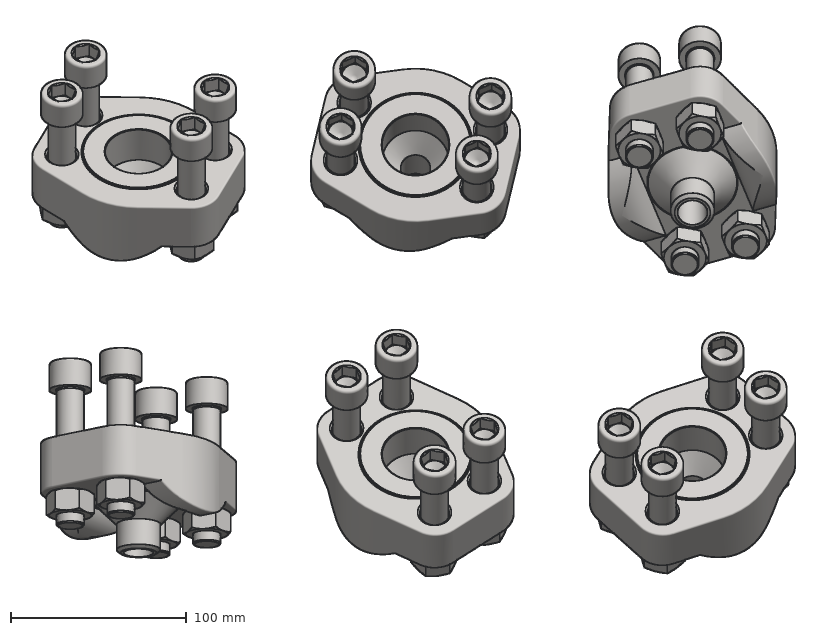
import cadquery as cq
import math


flange_length = 113.0
hub_radius = 47.9
bolt_pitch_x = 79.3
bolt_pitch_y = 36.5
plate_thickness = 30.0
arch_radius = 41.2
arch_drop = 12.8
lobe_round = 16.7
edge_fillet = 1.0
recess_diameter = 64.3
recess_depth = 10.0
seat_chamfer = 0.4
flange_bore = 51.5
bolt_hole = 17.0
bolt_hole_chamfer = 1.1

collar_diameter = 63.5
collar_protrusion = 0.5
sleeve_diameter = 50.6
pipe_diameter = 25.0
pipe_tip_diameter = 20.3
pipe_tip_length = 1.7
pipe_bottom = -59.4
counterbore_diameter = 38.0
counterbore_depth = 22.6
through_bore = 17.0

head_seat = 31.0
head_diameter = 24.0
head_height = 16.0
head_fillet = 1.6
shank_diameter = 15.7
shank_length = 80.0
shank_tip_diameter = 14.4
shank_tip_length = 0.8
neck_diameter = 16.5
neck_length = 0.9
socket_width = 14.0
socket_depth = 9.0
socket_cone_depth = 4.1
socket_mouth_depth = 0.7
socket_turn = 8.0

nut_width = 24.0
nut_height = 13.0
nut_chamfer_angle = 30.0

corner_x = bolt_pitch_x / 2
corner_y = bolt_pitch_y / 2
corner_radius = flange_length / 2 - corner_x
bolt_places = [(side_x * corner_x, side_y * corner_y) for side_x in (-1, 1) for side_y in (-1, 1)]
plate_bottom = -plate_thickness
arch_bottom = plate_bottom - arch_drop
on_wall_tolerance = 0.001


def turned(profile):
    """Solid of revolution about Z from (radius, height) points."""
    return cq.Workplane("XZ").polyline(profile).close().revolve(360, (0, 0, 0), (0, 1, 0))


def cylinder(diameter, bottom, top):
    return cq.Workplane("XY").workplane(offset=bottom).circle(diameter / 2).extrude(top - bottom)


def hexagon_corner_radius(width):
    """Corner radius of a hexagon of the given width across flats."""
    return width / 2 / math.cos(math.radians(30))


def hexagon(width, bottom, top):
    """Hexagonal prism with a corner on the X axis."""
    corner_circle = 2 * hexagon_corner_radius(width)
    return cq.Workplane("XY").workplane(offset=bottom).polygon(6, corner_circle).extrude(top - bottom)


def flange_blank():
    """Prism whose outline is a hub circle and four corner circles joined by tangent lines."""
    spacing = math.hypot(corner_x, corner_y)
    tangent_angle = math.atan2(corner_y, corner_x) + math.acos((hub_radius - corner_radius) / spacing)
    hub_x = hub_radius * math.cos(tangent_angle)
    hub_y = hub_radius * math.sin(tangent_angle)
    end_x = corner_x + corner_radius * math.cos(tangent_angle)
    end_y = corner_y + corner_radius * math.sin(tangent_angle)
    mid_x = corner_x + corner_radius * math.cos(tangent_angle / 2)
    mid_y = corner_y + corner_radius * math.sin(tangent_angle / 2)
    side_x = flange_length / 2
    return (
        cq.Workplane("XY")
        .workplane(offset=arch_bottom)
        .moveTo(side_x, -corner_y)
        .lineTo(side_x, corner_y)
        .threePointArc((mid_x, mid_y), (end_x, end_y))
        .lineTo(hub_x, hub_y)
        .threePointArc((0, hub_radius), (-hub_x, hub_y))
        .lineTo(-end_x, end_y)
        .threePointArc((-mid_x, mid_y), (-side_x, corner_y))
        .lineTo(-side_x, -corner_y)
        .threePointArc((-mid_x, -mid_y), (-end_x, -end_y))
        .lineTo(-hub_x, -hub_y)
        .threePointArc((0, -hub_radius), (hub_x, -hub_y))
        .lineTo(end_x, -end_y)
        .threePointArc((mid_x, -mid_y), (side_x, -corner_y))
        .close()
        .extrude(-arch_bottom)
    )


def plate():
    """Rectangular slab that the outline is cut from."""
    return (
        cq.Workplane("XY")
        .workplane(offset=plate_bottom)
        .rect(flange_length, 2 * hub_radius)
        .extrude(plate_thickness)
    )


def lobes():
    """Two lobes below the plate: a round arch along Y, rounded up towards the bore along X."""
    arch = (
        cq.Workplane("XZ")
        .center(0, arch_bottom + arch_radius)
        .circle(arch_radius)
        .extrude(hub_radius, both=True)
    )
    inner_y = flange_bore / 2
    round_y = inner_y + lobe_round
    round_z = arch_bottom + lobe_round
    round_mid = lobe_round * math.sqrt(0.5)
    side_profile = (
        cq.Workplane("YZ")
        .moveTo(inner_y, 0)
        .lineTo(inner_y, round_z)
        .threePointArc((round_y - round_mid, round_z - round_mid), (round_y, arch_bottom))
        .lineTo(hub_radius, arch_bottom)
        .lineTo(hub_radius, 0)
        .close()
        .extrude(arch_radius, both=True)
    )
    return arch.intersect(side_profile.union(side_profile.mirror("XZ")))


def round_wall_edges(body, blank):
    """Fillet the top and bottom edges of the outer wall of the flange."""
    wall = cq.Compound.makeCompound(blank.faces("not |Z").vals())

    def on_wall(edge):
        middle = cq.Vertex.makeVertex(*edge.positionAt(0.5).toTuple())
        return wall.distance(middle) < on_wall_tolerance

    wall_edges = [edge for edge in body.edges("not |Z").vals() if on_wall(edge)]
    return body.newObject(wall_edges).fillet(edge_fillet)


def chamfered_hole(diameter, depth, chamfer):
    """Cutter for a hole down from Z = 0 with a 45 degree chamfer at its mouth."""
    radius = diameter / 2
    return turned([
        (0, 0),
        (radius + chamfer, 0),
        (radius, -chamfer),
        (radius, -depth),
        (0, -depth),
    ])


def make_flange():
    blank = flange_blank()
    body = blank.intersect(plate().union(lobes()))
    body = round_wall_edges(body, blank)
    body = body.cut(cylinder(flange_bore, arch_bottom, 0))
    body = body.cut(chamfered_hole(recess_diameter, recess_depth, seat_chamfer))
    for x, y in bolt_places:
        hole = chamfered_hole(bolt_hole, plate_thickness, bolt_hole_chamfer)
        body = body.cut(hole.translate((x, y, 0)))
    return body


def make_insert():
    """Pipe stub with a collar in the flange recess and a cone between its sleeve and its pipe."""
    collar_radius = collar_diameter / 2
    pipe_radius = pipe_diameter / 2
    body = turned([
        (0, collar_protrusion),
        (collar_radius - seat_chamfer, collar_protrusion),
        (collar_radius, collar_protrusion - seat_chamfer),
        (collar_radius, -recess_depth),
        (sleeve_diameter / 2, -recess_depth),
        (sleeve_diameter / 2, plate_bottom),
        (pipe_radius, arch_bottom),
        (pipe_radius, pipe_bottom + pipe_tip_length),
        (pipe_tip_diameter / 2, pipe_bottom),
        (0, pipe_bottom),
    ])
    counterbore_radius = counterbore_diameter / 2
    bore_radius = through_bore / 2
    funnel_depth = counterbore_radius - bore_radius
    bore = turned([
        (0, collar_protrusion),
        (counterbore_radius + seat_chamfer, collar_protrusion),
        (counterbore_radius, collar_protrusion - seat_chamfer),
        (counterbore_radius, -counterbore_depth),
        (bore_radius, -counterbore_depth - funnel_depth),
        (bore_radius, pipe_bottom),
        (0, pipe_bottom),
    ])
    return body.cut(bore)


def hexagon_socket(top):
    """Socket with a chamfered mouth and a conical drill point."""
    floor = top - socket_depth
    flat_radius = socket_width / 2
    prism = hexagon(socket_width, floor, top).rotate((0, 0, 0), (0, 0, 1), 90 + socket_turn)
    drill_point = turned([
        (0, floor),
        (flat_radius, floor),
        (0, floor - socket_cone_depth),
    ])
    mouth = turned([
        (0, top),
        (hexagon_corner_radius(socket_width), top),
        (flat_radius, top - socket_mouth_depth),
        (0, top - socket_mouth_depth),
    ])
    return prism.union(drill_point).union(mouth)


def make_bolt():
    """Socket head bolt on the Z axis."""
    head_top = head_seat + head_height
    tip = head_seat - shank_length
    shank_radius = shank_diameter / 2
    shank = turned([
        (0, head_seat),
        (neck_diameter / 2, head_seat),
        (shank_radius, head_seat - neck_length),
        (shank_radius, tip + shank_tip_length),
        (shank_tip_diameter / 2, tip),
        (0, tip),
    ])
    head = cylinder(head_diameter, head_seat, head_top).faces(">Z").edges().fillet(head_fillet)
    return head.union(shank).cut(hexagon_socket(head_top))


def make_nut():
    """Hexagon nut on the Z axis, seated under the plate and chamfered at both ends."""
    top = plate_bottom
    bottom = top - nut_height
    flat_radius = nut_width / 2
    nut_corner_radius = hexagon_corner_radius(nut_width)
    chamfer_height = (nut_corner_radius - flat_radius) * math.tan(math.radians(nut_chamfer_angle))
    chamfer_envelope = turned([
        (0, top),
        (flat_radius, top),
        (nut_corner_radius, top - chamfer_height),
        (nut_corner_radius, bottom + chamfer_height),
        (flat_radius, bottom),
        (0, bottom),
    ])
    nut = hexagon(nut_width, bottom, top).intersect(chamfer_envelope)
    return nut.cut(cylinder(shank_diameter, bottom, top))


flange = make_flange()
insert = make_insert()
bolts = [make_bolt().translate((x, y, 0)) for x, y in bolt_places]
nuts = [make_nut().translate((x, y, 0)) for x, y in bolt_places]

result = cq.Compound.makeCompound(
    [flange.val(), insert.val(), *[bolt.val() for bolt in bolts], *[nut.val() for nut in nuts]]
)